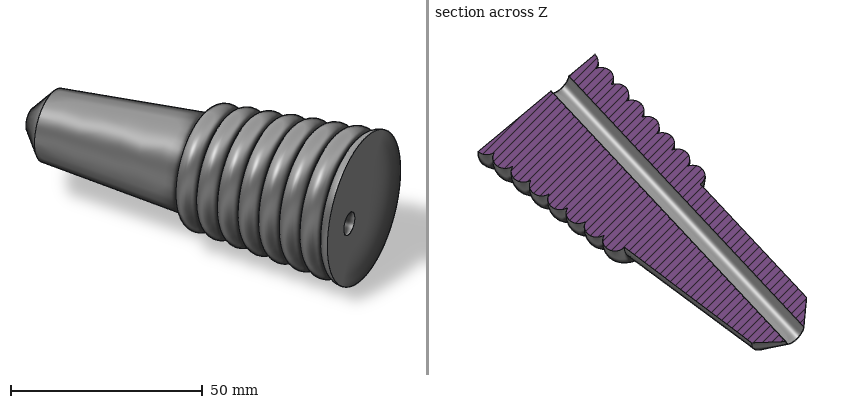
import cadquery as cq
import math

TILT = 5.0
TOTAL_LENGTH = 97.1
NOSE_LENGTH = 5.9
BACK_DIAMETER = 42.4
RING_RADIUS = 3.3
RING_PITCH = 6.3
RING_COUNT = 8
TIP_RADIUS = 3.3
HOLE_RADIUS = 3.2

taper = math.radians(TILT)
base_radius = BACK_DIAMETER / 2 - RING_RADIUS
shoulder_position = TOTAL_LENGTH - NOSE_LENGTH


def cone_radius(position):
    """Outer radius of the tapered body at a distance from the open end."""
    return base_radius - position * math.tan(taper)


def revolve_about_axis(points):
    """Revolve a (position, radius) outline about the axis, with the tip toward -X."""
    outline = [(-position, radius) for position, radius in points]
    return cq.Workplane("XY").polyline(outline).close().revolve(360, (0, 0), (1, 0))


def tapered_body():
    return revolve_about_axis([
        (0, 0),
        (0, base_radius),
        (shoulder_position, cone_radius(shoulder_position)),
        (TOTAL_LENGTH, TIP_RADIUS),
        (TOTAL_LENGTH, 0),
    ])


def ring(index):
    """Round ring centred on the tapered surface; index 0 lies in the open end."""
    position = index * RING_PITCH * math.cos(taper)
    section = cq.Workplane("XY").center(-position, cone_radius(position))
    if index == 0:
        section = section.moveTo(0, -RING_RADIUS)
        section = section.threePointArc((-RING_RADIUS, 0), (0, RING_RADIUS)).close()
    else:
        section = section.circle(RING_RADIUS)
    axis_height = -cone_radius(position)
    return section.revolve(360, (0, axis_height), (1, axis_height))


boot = tapered_body()
for ring_index in range(RING_COUNT):
    boot = boot.union(ring(ring_index))
boot = boot.rotate((0, 0, 0), (0, 0, 1), TILT)

tip_y = -TOTAL_LENGTH * math.sin(taper)
bore_start = -TOTAL_LENGTH - HOLE_RADIUS
bore_length = TOTAL_LENGTH + HOLE_RADIUS + BACK_DIAMETER / 2
bore = (
    cq.Workplane("YZ", origin=(bore_start, tip_y, 0))
    .circle(HOLE_RADIUS)
    .extrude(bore_length)
)

result = boot.cut(bore)